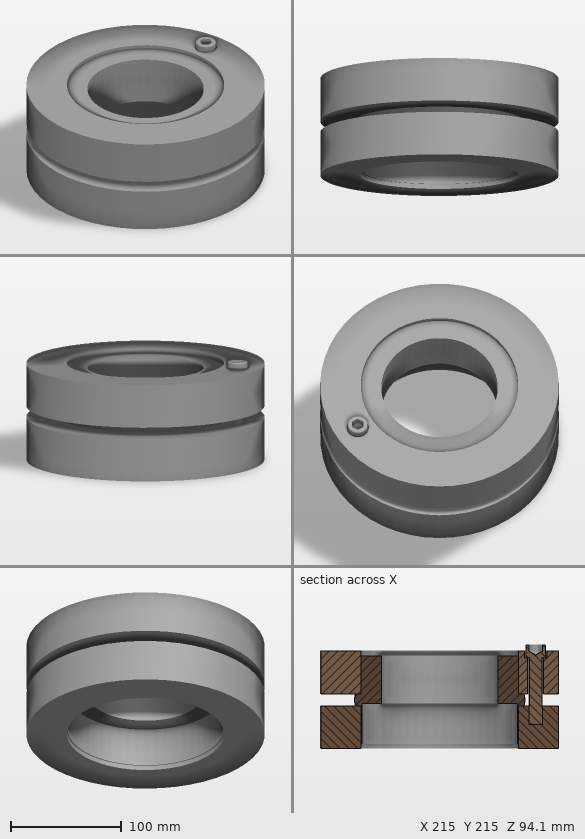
import cadquery as cq
import math

ring_diameter = 215.0
ring_height = 39.0
gap = 10.3
ring_bore = 142.0
upper_ring_base = ring_height + gap
stack_height = upper_ring_base + ring_height

sleeve_setback = 4.3
upper_bore = 105.0
lower_bore = 140.0
bore_step_height = 40.5
collar_crest_diameter = 154.5
collar_edge_diameter = 152.6

screw_offset = 86.5
head_diameter = 18.0
head_height = 12.0
head_protrusion = 5.8
head_fillet = 1.0
shank_diameter = 12.0
shank_length = 60.0
socket_flats = 10.0
socket_depth = 6.0
socket_cone_angle = 120.0
counterbore_diameter = 20.0
clearance_diameter = 14.0
screw_top = stack_height + head_protrusion
head_base = screw_top - head_height
screw_tip = head_base - shank_length


def screw_cylinder(diameter, base, top):
    """Cylinder on the screw axis between two heights."""
    return cq.Workplane("XY", origin=(0, screw_offset, base)).circle(diameter / 2).extrude(top - base)


def make_ring(base):
    """Plain flat ring standing on the given height."""
    return (
        cq.Workplane("XY", origin=(0, 0, base))
        .circle(ring_diameter / 2)
        .circle(ring_bore / 2)
        .extrude(ring_height)
    )


def make_upper_ring():
    """Ring with a counterbored clearance hole for the screw."""
    clearance_hole = screw_cylinder(clearance_diameter, upper_ring_base, stack_height)
    counterbore = screw_cylinder(counterbore_diameter, head_base, stack_height)
    return make_ring(upper_ring_base).cut(clearance_hole).cut(counterbore)


def make_lower_ring():
    """Ring with a blind hole that holds the end of the screw."""
    return make_ring(0).cut(screw_cylinder(shank_diameter, screw_tip, ring_height))


def make_sleeve():
    """Turned sleeve with a stepped bore and a collar that rises to a crest at mid-gap."""
    bottom = sleeve_setback
    top = stack_height - sleeve_setback
    profile = [
        (lower_bore / 2, bottom),
        (ring_bore / 2, bottom),
        (ring_bore / 2, ring_height),
        (collar_edge_diameter / 2, ring_height),
        (collar_crest_diameter / 2, ring_height + gap / 2),
        (collar_edge_diameter / 2, upper_ring_base),
        (ring_bore / 2, upper_ring_base),
        (ring_bore / 2, top),
        (upper_bore / 2, top),
        (upper_bore / 2, bore_step_height),
        (lower_bore / 2, bore_step_height),
    ]
    return cq.Workplane("XZ").polyline(profile).close().revolve(360, (0, 0, 0), (0, 1, 0))


def make_socket():
    """Hexagonal socket, corners along Y, ending in a drilled cone."""
    corner_radius = socket_flats / math.sqrt(3)
    cone_depth = corner_radius / math.tan(math.radians(socket_cone_angle / 2))
    hexagon = (
        cq.Workplane("XY", origin=(0, screw_offset, screw_top - socket_depth))
        .transformed(rotate=(0, 0, 90))
        .polygon(6, 2 * corner_radius)
        .extrude(socket_depth)
    )
    drill_point = cq.Solid.makeCone(
        corner_radius,
        0,
        cone_depth,
        pnt=cq.Vector(0, screw_offset, screw_top - socket_depth),
        dir=cq.Vector(0, 0, -1),
    )
    prism_down = hexagon.translate((0, 0, -socket_depth))
    return hexagon.union(prism_down.intersect(cq.Workplane(drill_point)))


def make_screw():
    """Cap screw with a rounded head rim and a hexagonal socket."""
    head = screw_cylinder(head_diameter, head_base, screw_top).faces(">Z").edges().fillet(head_fillet)
    shank = screw_cylinder(shank_diameter, screw_tip, head_base)
    return head.union(shank).cut(make_socket())


upper_ring = make_upper_ring()
lower_ring = make_lower_ring()
sleeve = make_sleeve()
screw = make_screw()

result = cq.Compound.makeCompound([upper_ring.val(), lower_ring.val(), sleeve.val(), screw.val()])